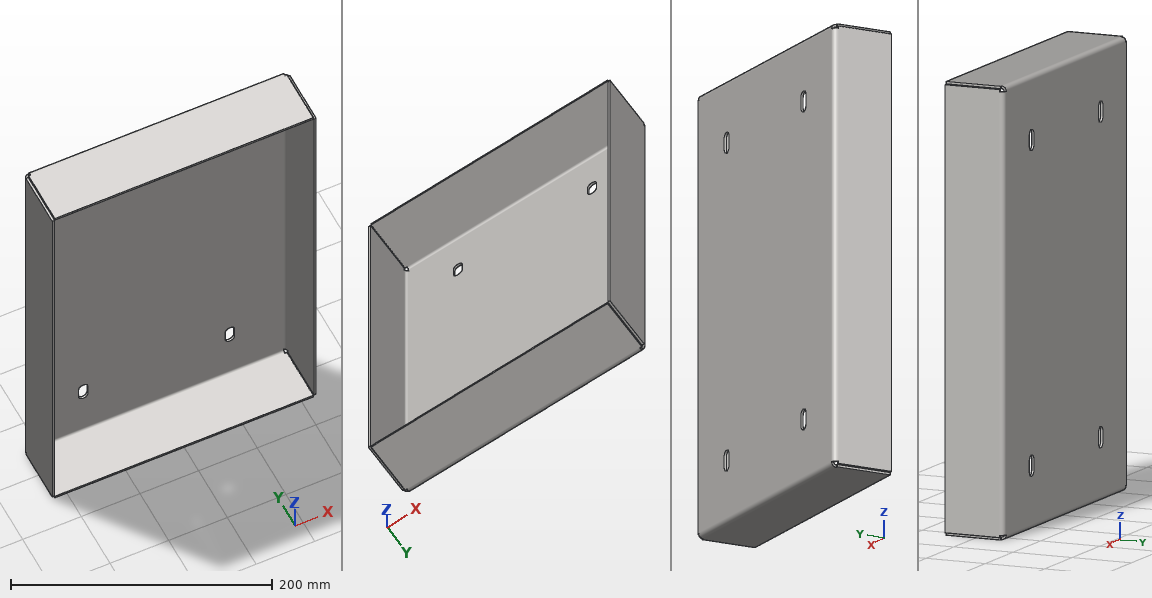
import cadquery as cq

width = 225.0
depth = 50.0
height = 354.0

sheet = 2.0
inner_bend_radius = 2.0
outer_bend_radius = sheet + inner_bend_radius
corner_gap = 0.2

slot_width = 8.0
slot_length = 16.5
slot_inset = 50.0
slot_spacing_x = width - 2 * slot_inset
slot_spacing_z = height - 2 * slot_inset

back_y = depth / 2
front_y = -depth / 2
bend_start_y = back_y - outer_bend_radius
panel_width = width - 2 * outer_bend_radius
panel_height = height - 2 * outer_bend_radius
wall_end_setback = sheet + corner_gap


def make_back_panel():
    """Flat back panel; its corners stop at the bends and leave square reliefs."""
    panel = cq.Workplane("XY").box(panel_width, sheet, panel_height)
    return panel.translate((0, back_y - sheet / 2, 0))


def make_flange(span, length):
    """Wall and bend on the +X side of a tray of the given span, running along Z."""
    outer_x = span / 2
    wall_length = length - 2 * wall_end_setback
    bend_length = length - 2 * outer_bend_radius
    bend_center_x = outer_x - outer_bend_radius

    wall = (
        cq.Workplane("XY")
        .box(sheet, bend_start_y - front_y, wall_length)
        .translate((outer_x - sheet / 2, (bend_start_y + front_y) / 2, 0))
    )
    bend_sector = (
        cq.Workplane("XY")
        .rect(outer_bend_radius, outer_bend_radius, centered=False)
        .extrude(bend_length)
    )
    bend = (
        cq.Workplane("XY")
        .circle(outer_bend_radius)
        .circle(inner_bend_radius)
        .extrude(bend_length)
        .intersect(bend_sector)
        .translate((bend_center_x, bend_start_y, -bend_length / 2))
    )
    return wall.union(bend)


def turn_about_depth(body, angle):
    """Rotate a body about the Y axis through the tray centre."""
    return body.rotate((0, 0, 0), (0, 1, 0), angle)


def make_slots():
    """Four round-ended slots passing through the back panel."""
    return (
        cq.Workplane("XZ", origin=(0, back_y, 0))
        .rarray(slot_spacing_x, slot_spacing_z, 2, 2)
        .slot2D(slot_length, slot_width, 90)
        .extrude(sheet)
    )


side_flange = make_flange(width, height)
end_flange = make_flange(height, width)

tray = make_back_panel()
for side_angle in (0, 180):
    tray = tray.union(turn_about_depth(side_flange, side_angle))
for end_angle in (90, 270):
    tray = tray.union(turn_about_depth(end_flange, end_angle))

result = tray.cut(make_slots())